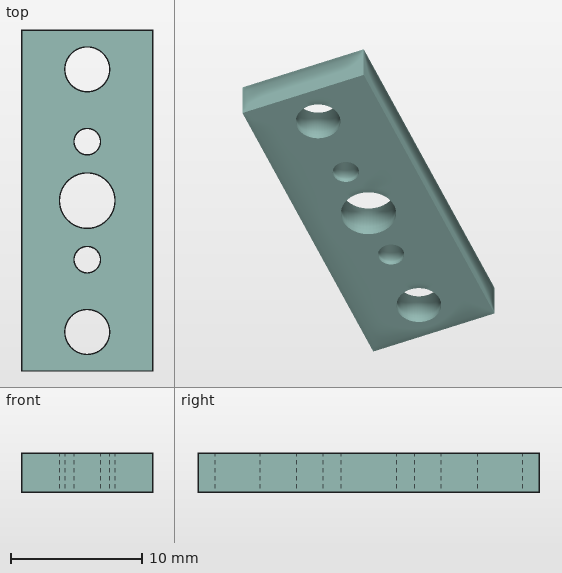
import cadquery as cq

length = 26.0
width = 10.0
thickness = 3.0

center_hole_diameter = 4.2
small_hole_diameter = 2.0
small_hole_offset = 4.5
end_hole_diameter = 3.4
end_hole_offset = 10.0


def hole_pair(plate, diameter, offset):
    """Drill two through holes placed symmetrically along Y."""
    centers = [(0, -offset), (0, offset)]
    return plate.faces(">Z").workplane(origin=(0, 0, 0)).pushPoints(centers).hole(diameter)


plate = cq.Workplane("XY").box(width, length, thickness)
plate = plate.faces(">Z").workplane(origin=(0, 0, 0)).hole(center_hole_diameter)
plate = hole_pair(plate, small_hole_diameter, small_hole_offset)
result = hole_pair(plate, end_hole_diameter, end_hole_offset)